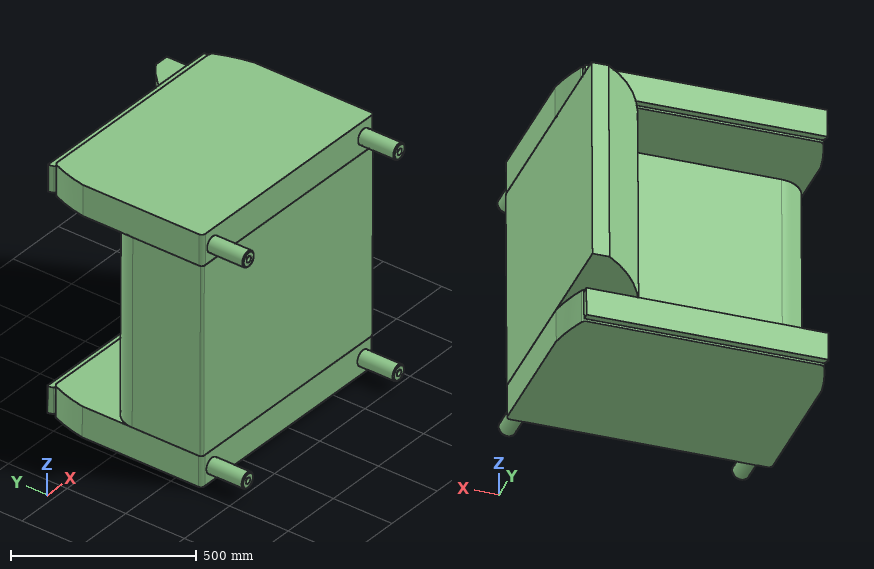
import cadquery as cq
import math


WIDTH_X = 761.0
HEIGHT_Z = 817.5
BASE_Y = 123.0
TILT = 0.25
HALF_X = WIDTH_X / 2
HALF_Z = HEIGHT_Z / 2

ARM_THICKNESS = 101.0
ARM_TOP_Y = 653.0
ARM_SHOULDER_Y = 531.0
ARM_TOP_INSET = 36.5
ARM_SIDE_SAG = 4.0
ARM_BASE_FILLET = 12.5
ARM_TOP_FILLET = 15.0
ARM_CENTER_Z = HALF_Z - ARM_THICKNESS / 2

PAD_WIDTH = 86.0
PAD_THICKNESS = 21.0
PAD_END_INSET = 28.0
PAD_END_SLANT = 6.0
PAD_END_FILLET = 3.0
PAD_FAR_INSET = 37.0

SEAT_TOP_Y = 442.0
SEAT_FRONT_FILLET = 81.0
SEAT_BASE_FILLET = 7.5
BACK_TOP_Y = 830.0
BACK_TOP_DEPTH = 49.0
BACK_RADIUS = 407.0
BACK_ARC_CENTER_Y = 495.0
SEAT_WIDTH = HEIGHT_Z - 2 * ARM_THICKNESS

FOOT_DIAMETER = 51.0
FOOT_EDGE_CHAMFER = 3.0
FOOT_OFFSET_X = 334.5
FOOT_RECESS_DIAMETER = 19.0
FOOT_RECESS_DEPTH = 12.5
FOOT_HOLE_DIAMETER = 8.0
FOOT_HOLE_DEPTH = 21.0


def tilted(body):
    return body.rotate((0, 0, 0), (0, 1, 0), TILT)


def make_arm(center_z):
    """Upright slab with curved shoulders and rounded corners."""
    top_x = HALF_X - ARM_TOP_INSET
    rise = ARM_TOP_Y - ARM_SHOULDER_Y
    chord = math.hypot(ARM_TOP_INSET, rise)
    bulge_x = HALF_X - ARM_TOP_INSET / 2 + ARM_SIDE_SAG * rise / chord
    bulge_y = ARM_SHOULDER_Y + rise / 2 + ARM_SIDE_SAG * ARM_TOP_INSET / chord
    arm = (
        cq.Workplane("XY", origin=(0, 0, center_z))
        .moveTo(-HALF_X, BASE_Y)
        .lineTo(HALF_X, BASE_Y)
        .lineTo(HALF_X, ARM_SHOULDER_Y)
        .threePointArc((bulge_x, bulge_y), (top_x, ARM_TOP_Y))
        .lineTo(-top_x, ARM_TOP_Y)
        .threePointArc((-bulge_x, bulge_y), (-HALF_X, ARM_SHOULDER_Y))
        .close()
        .extrude(ARM_THICKNESS / 2, both=True)
    )
    arm = arm.faces("<Y").edges("|Z").fillet(ARM_BASE_FILLET)
    arm = arm.faces(">Y").edges("|Z").fillet(ARM_TOP_FILLET)
    return tilted(arm)


def make_pad(center_z):
    """Thin armrest pad lying on an arm, with one slanted end."""
    end_x = -HALF_X + PAD_END_INSET
    far_x = HALF_X - PAD_FAR_INSET
    pad_top_y = ARM_TOP_Y + PAD_THICKNESS
    pad = (
        cq.Workplane("XY", origin=(0, 0, center_z))
        .moveTo(end_x + PAD_END_SLANT, ARM_TOP_Y)
        .lineTo(far_x, ARM_TOP_Y)
        .lineTo(far_x, pad_top_y)
        .lineTo(end_x, pad_top_y)
        .close()
        .extrude(PAD_WIDTH / 2, both=True)
    )
    pad = pad.faces("<X").edges("|Z").fillet(PAD_END_FILLET)
    return tilted(pad)


def make_seat():
    """Seat block and backrest in one piece; the backrest bulges toward -X."""
    back_top_x = HALF_X - BACK_TOP_DEPTH
    arc_center_x = back_top_x + math.sqrt(BACK_RADIUS**2 - (BACK_TOP_Y - BACK_ARC_CENTER_Y) ** 2)
    back_front_x = arc_center_x - BACK_RADIUS
    back_foot_x = arc_center_x - math.sqrt(BACK_RADIUS**2 - (BACK_ARC_CENTER_Y - SEAT_TOP_Y) ** 2)
    seat = (
        cq.Workplane("XY")
        .moveTo(-HALF_X, BASE_Y)
        .lineTo(HALF_X, BASE_Y)
        .lineTo(HALF_X, BACK_TOP_Y)
        .lineTo(back_top_x, BACK_TOP_Y)
        .threePointArc((back_front_x, BACK_ARC_CENTER_Y), (back_foot_x, SEAT_TOP_Y))
        .lineTo(-HALF_X, SEAT_TOP_Y)
        .close()
        .extrude(SEAT_WIDTH / 2, both=True)
    )
    seat = seat.faces("<Y").edges("|Z").fillet(SEAT_BASE_FILLET)
    seat_front_edge = cq.selectors.NearestToPointSelector((-HALF_X, SEAT_TOP_Y, 0))
    seat = seat.edges("|Z").edges(seat_front_edge).fillet(SEAT_FRONT_FILLET)
    return tilted(seat)


def make_foot(center_x, center_z):
    """Round foot with a stepped center hole in its free end."""
    foot = (
        cq.Workplane("XZ", origin=(center_x, BASE_Y, center_z))
        .circle(FOOT_DIAMETER / 2)
        .extrude(BASE_Y)
        .faces("<Y")
        .chamfer(FOOT_EDGE_CHAMFER)
        .faces("<Y")
        .workplane()
        .cboreHole(FOOT_HOLE_DIAMETER, FOOT_RECESS_DIAMETER, FOOT_RECESS_DEPTH, FOOT_HOLE_DEPTH)
    )
    return tilted(foot)


seat = make_seat()
arms = []
pads = []
feet = []
for side_z in (-1, 1):
    center_z = side_z * ARM_CENTER_Z
    arms.append(make_arm(center_z))
    pads.append(make_pad(center_z))
    for side_x in (-1, 1):
        feet.append(make_foot(side_x * FOOT_OFFSET_X, center_z))

bodies = [seat, *arms, *pads, *feet]
result = cq.Compound.makeCompound([body.val() for body in bodies])